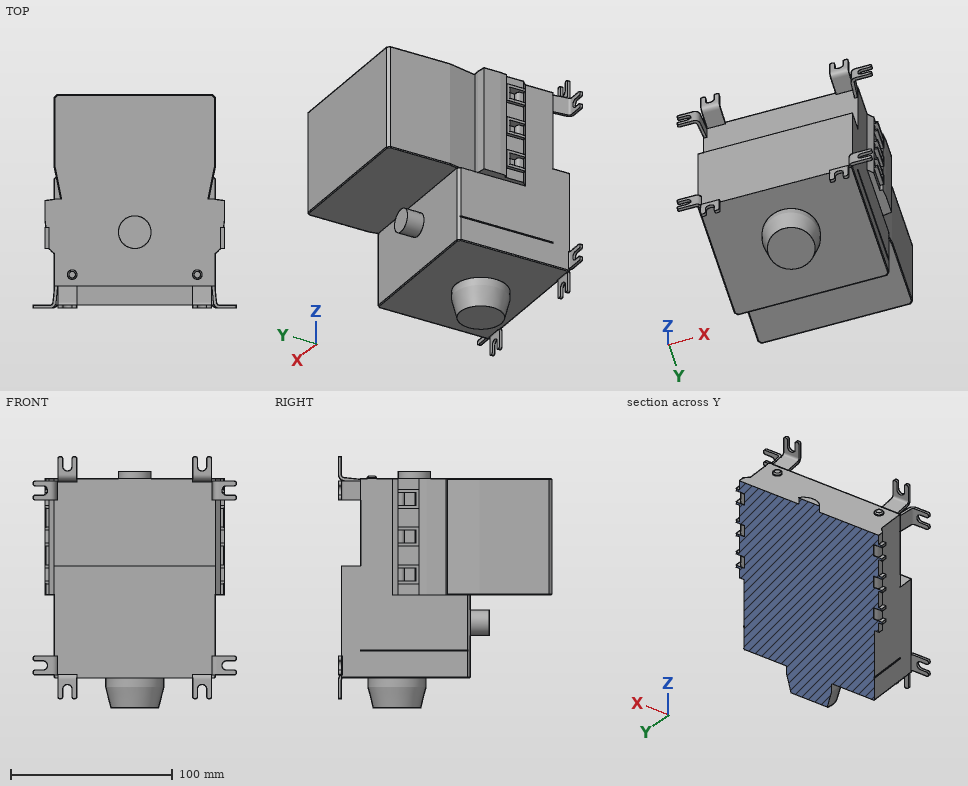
import cadquery as cq


body_width = 100.0
body_top = 142.1
lower_bottom = 18.5
upper_bottom = 70.1
upper_front = 13.7
lower_front = 1.9
step_height = 88.0
lower_rear = 81.8
lower_rear_chamfer = 1.9
lower_bottom_chamfer = 0.6

housing_rear = 132.5
housing_taper_start = 87.5
housing_neck_width = 91.9
housing_corner_chamfer = 1.9
housing_rim_chamfer = 0.6

block_width = 111.5
block_rear = 66.7
block_inner_rear = 67.5
block_lip_rear = 54.8
block_lip_taper = 0.6
channel_width = 106.5
channel_front = 37.0
channel_rear = 50.0
block_front = channel_front - (channel_width - body_width) / 2

frame_count = 3
frame_pitch = 23.4
frame_top = 135.4
frame_height = 11.7
frame_wall = 1.9
pocket_depth = 6.2
pocket_ledge_rear = 41.0
pocket_ledge_round = 2.0
pocket_rear_draft = 0.6

groove_height = 35.5
groove_width = 0.6
groove_depth = 0.3

overlap = 1.5
knob_radius = 18.0
knob_tip_radius = 14.8
knob_shoulder = 13.0
knob_y = 36.3
button_radius = 10.1
button_top = 146.6
button_y = 47.0
reset_radius = 8.0
reset_rear = 93.6
reset_z = 52.8
screw_radius = 3.0
screw_top = 143.8
screw_chamfer = 1.0
screw_x = 38.8
screw_y = 20.7

overall_width = 126.0
foot_width = 11.8
foot_thickness = 1.9
foot_slot_width = 5.6
foot_slot_depth = 8.9
foot_tip_round = 1.4
foot_bend_radius = 1.7
foot_inset = 0.3
foot_lean = 1.2
foot_root = 3.1
top_foot_tip = 155.8
bottom_foot_tip = 5.6
foot_x = 41.8
upper_foot_z = 134.8
lower_foot_z = 26.3


def prism(outline, bottom, top):
    """Extrude an XY outline between two heights."""
    return cq.Workplane("XY").workplane(offset=bottom).polyline(outline).close().extrude(top - bottom)


def both_sides(outline):
    """Complete a right-hand outline with its mirror image."""
    return outline + [(-x, y) for x, y in reversed(outline)]


def mirrored_pair(solid):
    """The solid and its mirror image across the plane of symmetry."""
    return solid, solid.mirror("YZ")


def cylinder_z(x, y, radius, bottom, top):
    return cq.Workplane("XY", origin=(x, y, bottom)).circle(radius).extrude(top - bottom)


def make_lower_body():
    half = body_width / 2
    outline = both_sides([(half, lower_front), (half, lower_rear)])
    lower = prism(outline, lower_bottom, upper_bottom)
    lower = lower.edges("|Z and >Y").chamfer(lower_rear_chamfer)
    step = both_sides([(half, lower_front), (half, upper_front)])
    lower = lower.union(prism(step, upper_bottom, step_height))
    lower = lower.faces("<Z").edges("not <Y").chamfer(lower_bottom_chamfer)
    groove_rear = lower_rear + groove_depth
    for side in (-1, 1):
        groove = cq.Workplane("XY").box(
            2 * groove_depth, groove_rear - upper_front, groove_width, centered=(True, False, True)
        )
        lower = lower.cut(groove.translate((side * half, upper_front, groove_height)))
    return lower


def make_housing():
    half = body_width / 2
    neck = housing_neck_width / 2
    outline = both_sides([
        (neck, block_rear),
        (neck, block_inner_rear),
        (half, housing_taper_start),
        (half, housing_rear),
    ])
    housing = prism(outline, upper_bottom, body_top)
    housing = housing.edges("|Z and >Y").chamfer(housing_corner_chamfer)
    return housing.faces("<Z or >Z").edges("not <Y").chamfer(housing_rim_chamfer)


def make_terminal_body():
    half = body_width / 2
    channel = channel_width / 2
    block = block_width / 2
    outline = both_sides([
        (half, upper_front),
        (half, block_front),
        (channel, channel_front),
        (channel, channel_rear),
        (block - block_lip_taper, channel_rear),
        (block, block_lip_rear),
        (block, block_rear),
        (half, block_inner_rear),
    ])
    body = prism(outline, upper_bottom, body_top)
    for index in range(frame_count):
        top = frame_top - index * frame_pitch
        for frame in mirrored_pair(make_frame(top)):
            body = body.union(frame)
        for pocket in mirrored_pair(make_frame_pocket(top)):
            body = body.cut(pocket)
    return body


def make_frame(top):
    outline = [
        (body_width / 2, channel_front),
        (block_width / 2, channel_front),
        (block_width / 2, channel_rear),
        (body_width / 2, channel_rear),
    ]
    return prism(outline, top - frame_height, top)


def make_frame_pocket(top):
    """Pocket open to the side and to the front, with a rounded ledge before its deep rear part."""
    floor = channel_width / 2
    deep_floor = block_width / 2 - pocket_depth
    outline = [
        (block_width / 2, channel_front),
        (floor, channel_front),
        (floor, pocket_ledge_rear),
        (deep_floor, pocket_ledge_rear),
        (deep_floor, channel_rear - frame_wall - pocket_rear_draft),
        (block_width / 2, channel_rear - frame_wall),
    ]
    pocket = prism(outline, top - frame_height + frame_wall, top - frame_wall)
    ledge = cq.NearestToPointSelector((floor, pocket_ledge_rear, top - frame_height / 2))
    return pocket.edges(ledge).fillet(pocket_ledge_round)


def make_knob():
    profile = [
        (0, 0),
        (knob_tip_radius, 0),
        (knob_radius, knob_shoulder),
        (knob_radius, lower_bottom + overlap),
        (0, lower_bottom + overlap),
    ]
    knob = cq.Workplane("XZ").polyline(profile).close().revolve(360, (0, 0, 0), (0, 1, 0))
    return knob.translate((0, knob_y, 0))


def make_reset_button():
    button = cq.Workplane("XZ", origin=(0, lower_rear - overlap, reset_z)).circle(reset_radius)
    return button.extrude(-(reset_rear - lower_rear + overlap))


def make_screw():
    screw = cylinder_z(screw_x, screw_y, screw_radius, body_top - overlap, screw_top)
    return screw.faces(">Z").chamfer(screw_chamfer)


def make_foot(reach, leg_length):
    """Bent plate with an open slot, pointing along +X with its leg along +Y.

    X = 0 is the outer side of the body; reach is the distance from there to the tip.
    """
    inner_corner = foot_lean - foot_inset - foot_thickness
    profile = [
        (reach, 0),
        (reach, foot_thickness),
        (inner_corner + foot_thickness, foot_thickness),
        (-foot_inset, leg_length),
        (-foot_inset, leg_length + foot_root),
        (-foot_inset - foot_thickness, leg_length + foot_root),
        (-foot_inset - foot_thickness, leg_length),
        (inner_corner, 0),
    ]
    foot = cq.Workplane("XY").polyline(profile).close().extrude(foot_width / 2, both=True)
    bend_outside = (inner_corner, 0, 0)
    foot = foot.edges(cq.NearestToPointSelector(bend_outside)).fillet(foot_thickness + foot_bend_radius)
    bend_inside = (inner_corner + foot_thickness, foot_thickness, 0)
    foot = foot.edges(cq.NearestToPointSelector(bend_inside)).fillet(foot_bend_radius)
    slot_end = reach - foot_slot_depth + foot_slot_width / 2
    slot = (
        cq.Workplane("XZ")
        .moveTo(reach, -foot_slot_width / 2)
        .lineTo(slot_end, -foot_slot_width / 2)
        .threePointArc((reach - foot_slot_depth, 0), (slot_end, foot_slot_width / 2))
        .lineTo(reach, foot_slot_width / 2)
        .close()
        .extrude(-foot_thickness)
    )
    return foot.cut(slot).edges("|Y and >X").fillet(foot_tip_round)


def make_side_foot(z, front):
    reach = (overall_width - body_width) / 2
    return make_foot(reach, front).translate((body_width / 2, 0, z))


def make_top_foot():
    foot = make_foot(top_foot_tip - body_top, upper_front).rotate((0, 0, 0), (0, 1, 0), -90)
    return foot.translate((foot_x, 0, body_top))


def make_bottom_foot():
    foot = make_foot(lower_bottom - bottom_foot_tip, lower_front).rotate((0, 0, 0), (0, 1, 0), 90)
    return foot.translate((foot_x, 0, lower_bottom))


central_parts = [
    make_housing(),
    make_lower_body(),
    make_knob(),
    make_reset_button(),
    cylinder_z(0, button_y, button_radius, body_top - overlap, button_top),
]
paired_parts = [
    make_screw(),
    make_side_foot(upper_foot_z, upper_front),
    make_side_foot(lower_foot_z, lower_front),
    make_top_foot(),
    make_bottom_foot(),
]

result = make_terminal_body()
for part in central_parts:
    result = result.union(part)
for part in paired_parts:
    for copy in mirrored_pair(part):
        result = result.union(copy)